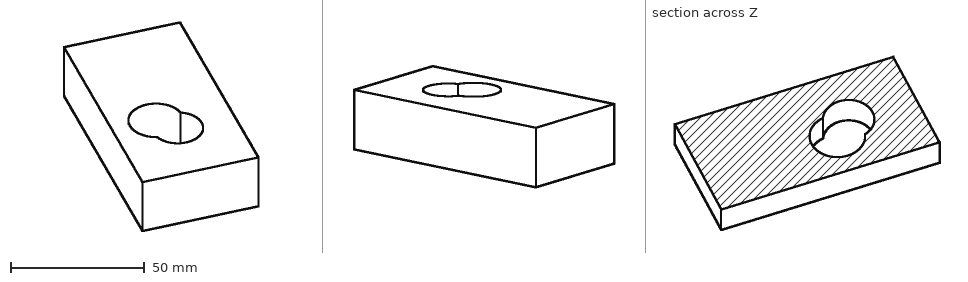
import cadquery as cq

length = 88.3
width = 46.0
height = 23.0

large_hole_radius = 10.3
large_hole_centre = (9.9, -5.6)
small_hole_radius = 9.5
small_hole_centre = (16.95, 0.5)


def drill_through(body, centre, radius):
    """Cut a vertical round hole through the whole block."""
    cutter = cq.Workplane("XY").center(*centre).circle(radius).extrude(height)
    return body.cut(cutter)


block = cq.Workplane("XY").box(length, width, height, centered=(True, True, False))
block = drill_through(block, large_hole_centre, large_hole_radius)
result = drill_through(block, small_hole_centre, small_hole_radius)